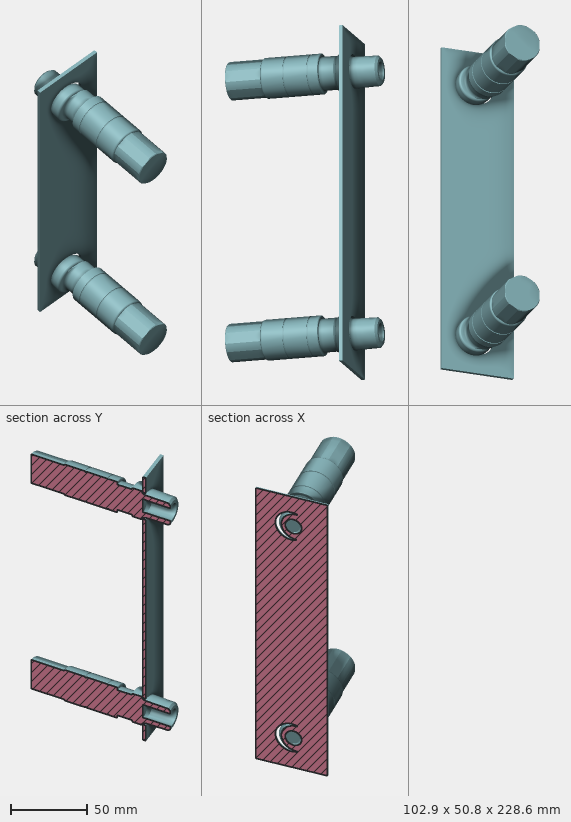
import cadquery as cq
import math

PLATE_THICKNESS = 2.54
PLATE_WIDTH = 50.8
PLATE_HEIGHT = 228.6
FITTING_SPACING = 178.5
PLATE_HOLE_RADIUS = 11.4

NOSE_TIP_X = -17.9
TOTAL_LENGTH = 102.87
COLLAR_START_X = 3.0
COLLAR_END_X = 10.7
SHAFT_START_X = 9.6
GRIP_START_X = 20.9
GRIP_END_X = 60.7
HANDLE_END_X = NOSE_TIP_X + TOTAL_LENGTH

NOSE_OFFSET_Y = -3.175
NOSE_TIP_RADIUS = 10.15
NOSE_BASE_RADIUS = 10.55
NOSE_CHAMFER = 1.5
COLLAR_RADIUS = 12.9
COLLAR_EDGE_RADIUS = 1.6

BORE_RADIUS = 6.15
BORE_FLOOR_RADIUS = 5.35
BORE_STRAIGHT_DEPTH = 18.0
BORE_TAPER_LENGTH = 2.0

SHAFT_RADIUS = 11.2
SHAFT_CHAMFER = 1.3
SHAFT_FILLET = 2.0
GRIP_RADIUS = 13.5
GRIP_FRONT_CHAMFER = 0.4
GRIP_REAR_FILLET = 1.35
GROOVE_CENTRES = (28.05, 44.6)
GROOVE_WIDTH = 1.0
GROOVE_DEPTH = 0.5
HANDLE_RADIUS = 12.7
HANDLE_FLATS = 6
HANDLE_ACROSS_FLATS = 24.3
HANDLE_END_CHAMFER = 0.5


def turned(profile, axis_y=0.0):
    """Revolve (x, radius) points about an axis parallel to X at the given Y."""
    points = [(x, axis_y + radius) for x, radius in profile]
    return cq.Workplane("XY").polyline(points).close().revolve(360, (0, axis_y, 0), (1, axis_y, 0))


def cross_section(x, y=0.0):
    """Workplane normal to X at the given station."""
    return cq.Workplane("YZ", origin=(x, y, 0))


def make_nose():
    return turned(
        [
            (NOSE_TIP_X, 0),
            (NOSE_TIP_X, NOSE_TIP_RADIUS - NOSE_CHAMFER),
            (NOSE_TIP_X + NOSE_CHAMFER, NOSE_TIP_RADIUS),
            (COLLAR_START_X, NOSE_BASE_RADIUS),
            (COLLAR_START_X, 0),
        ],
        NOSE_OFFSET_Y,
    )


def make_collar():
    """Disc whose +X edge is rounded over."""
    disc = cross_section(COLLAR_START_X, NOSE_OFFSET_Y).circle(COLLAR_RADIUS)
    disc = disc.extrude(COLLAR_END_X - COLLAR_START_X)
    return disc.faces(">X").edges().fillet(COLLAR_EDGE_RADIUS)


def concave_ring(face_x, direction, inner_radius, fillet_radius):
    """Concave quarter-round ring about the X axis, filling the corner between a face and a cylinder.

    The ring stands on the face at face_x and runs along X in the given direction (+1 or -1).
    """
    end_x = face_x + direction * fillet_radius
    outer_radius = inner_radius + fillet_radius
    sag = fillet_radius * math.sqrt(0.5)
    return (
        cq.Workplane("XY")
        .moveTo(face_x, 0)
        .lineTo(face_x, outer_radius)
        .threePointArc((end_x - direction * sag, outer_radius - sag), (end_x, inner_radius))
        .lineTo(end_x, 0)
        .close()
        .revolve(360, (0, 0, 0), (1, 0, 0))
    )


def make_nose_fillet():
    """Concave blend from the nose to the full radius of the collar."""
    ring = concave_ring(COLLAR_START_X, -1, NOSE_BASE_RADIUS, COLLAR_RADIUS - NOSE_BASE_RADIUS)
    return ring.translate((0, NOSE_OFFSET_Y, 0))


def make_shaft():
    return turned(
        [
            (SHAFT_START_X, 0),
            (SHAFT_START_X, SHAFT_RADIUS - SHAFT_CHAMFER),
            (SHAFT_START_X + SHAFT_CHAMFER, SHAFT_RADIUS),
            (GRIP_START_X, SHAFT_RADIUS),
            (GRIP_START_X, 0),
        ]
    )


def make_shaft_fillet():
    """Concave blend from the collar end face to the shaft, trimmed to the flat of that face."""
    ring = concave_ring(COLLAR_END_X, 1, SHAFT_RADIUS, SHAFT_FILLET)
    face_radius = COLLAR_RADIUS - COLLAR_EDGE_RADIUS
    face_column = cross_section(COLLAR_END_X, NOSE_OFFSET_Y).circle(face_radius).extrude(SHAFT_FILLET)
    return ring.intersect(face_column)


def make_grip():
    grip = turned(
        [
            (GRIP_START_X, 0),
            (GRIP_START_X, GRIP_RADIUS - GRIP_FRONT_CHAMFER),
            (GRIP_START_X + GRIP_FRONT_CHAMFER, GRIP_RADIUS),
            (GRIP_END_X, GRIP_RADIUS),
            (GRIP_END_X, 0),
        ]
    )
    grip = grip.faces(">X").edges().fillet(GRIP_REAR_FILLET)
    for centre_x in GROOVE_CENTRES:
        groove = (
            cross_section(centre_x - GROOVE_WIDTH / 2)
            .circle(GRIP_RADIUS + GROOVE_DEPTH)
            .circle(GRIP_RADIUS - GROOVE_DEPTH)
            .extrude(GROOVE_WIDTH)
        )
        grip = grip.cut(groove)
    return grip


def make_handle():
    """Round bar with a turned end chamfer and evenly spaced flats, one of them facing -Y."""
    bar = turned(
        [
            (GRIP_END_X, 0),
            (GRIP_END_X, HANDLE_RADIUS),
            (HANDLE_END_X - HANDLE_END_CHAMFER, HANDLE_RADIUS),
            (HANDLE_END_X, HANDLE_RADIUS - HANDLE_END_CHAMFER),
            (HANDLE_END_X, 0),
        ]
    )
    half_flat_angle = math.pi / HANDLE_FLATS
    corner_diameter = HANDLE_ACROSS_FLATS / math.cos(half_flat_angle)
    flats = (
        cross_section(GRIP_END_X)
        .polygon(HANDLE_FLATS, corner_diameter)
        .extrude(HANDLE_END_X - GRIP_END_X)
        .rotate((0, 0, 0), (1, 0, 0), math.degrees(half_flat_angle))
    )
    return bar.intersect(flats)


def make_bore():
    """Blind bore along the nose axis, ending in a skewed taper that shifts over to the main axis."""
    along_x = cq.Vector(1, 0, 0)
    taper_start = cq.Vector(NOSE_TIP_X + BORE_STRAIGHT_DEPTH, NOSE_OFFSET_Y, 0)
    taper_end = cq.Vector(taper_start.x + BORE_TAPER_LENGTH, 0, 0)
    wide_circle = cq.Wire.makeCircle(BORE_RADIUS, taper_start, along_x)
    narrow_circle = cq.Wire.makeCircle(BORE_FLOOR_RADIUS, taper_end, along_x)
    taper = cq.Workplane(cq.Solid.makeLoft([wide_circle, narrow_circle], True))
    straight = cross_section(NOSE_TIP_X, NOSE_OFFSET_Y).circle(BORE_RADIUS).extrude(BORE_STRAIGHT_DEPTH)
    return straight.union(taper)


def make_fitting():
    fitting = make_nose()
    for section in (
        make_nose_fillet(),
        make_collar(),
        make_shaft(),
        make_shaft_fillet(),
        make_grip(),
        make_handle(),
    ):
        fitting = fitting.union(section)
    return fitting.cut(make_bore())


def make_plate():
    plate = cq.Workplane("XY").box(PLATE_THICKNESS, PLATE_WIDTH, PLATE_HEIGHT, centered=(False, True, True))
    holes = (
        cross_section(0)
        .pushPoints([(0, -FITTING_SPACING / 2), (0, FITTING_SPACING / 2)])
        .circle(PLATE_HOLE_RADIUS)
        .extrude(PLATE_THICKNESS)
    )
    return plate.cut(holes)


result = make_plate()
for side in (-1, 1):
    result = result.union(make_fitting().translate((0, 0, side * FITTING_SPACING / 2)))